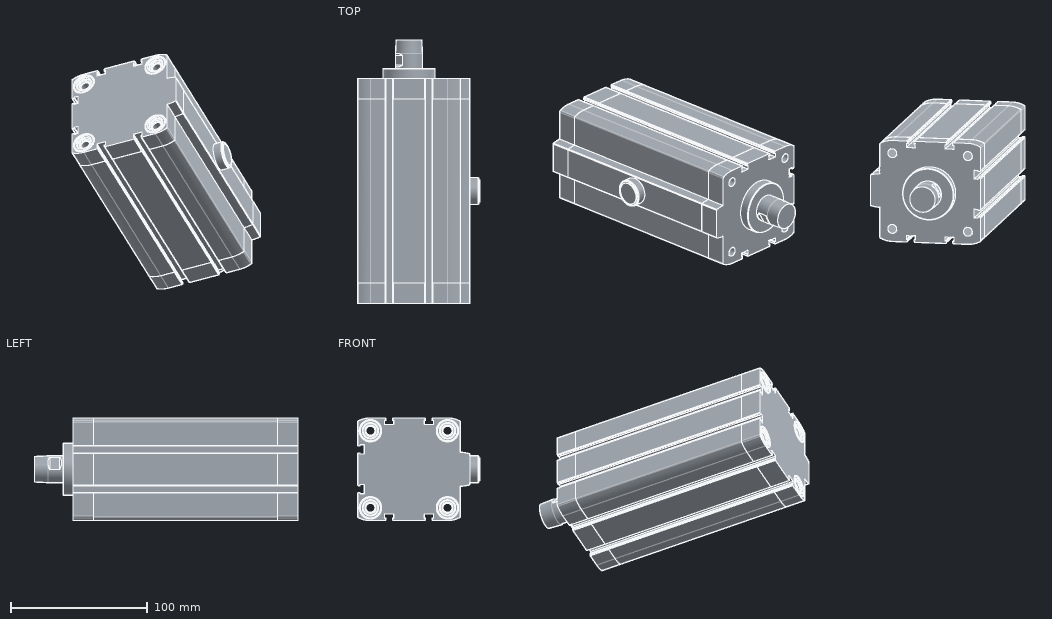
import cadquery as cq
import math

HOUSING_WIDTH = 75.5
HALF_WIDTH = HOUSING_WIDTH / 2
HOUSING_LENGTH = 165.2

CAP_LENGTH = 15.0
BARREL_LENGTH = HOUSING_LENGTH - 2 * CAP_LENGTH
BARREL_INSET = 0.1

BOLT_OFFSET = 28.2
CORNER_ARC_RADIUS = 19.0
CAP_CORNER_ROUND = 1.4
BARREL_CORNER_ROUND = 0.5

RAIL_HEIGHT = 7.0
RAIL_ROOT_WIDTH = 25.1
RAIL_TOP_WIDTH = 22.8
RAIL_FLANK_RADIUS = 27.0
RAIL_CHAMFER = 0.4

SLOT_OFFSET = 14.5
SLOT_MOUTH_WIDTH = 4.8
SLOT_MOUTH_CHAMFER = 0.5
SLOT_INNER_WIDTH = 6.5
SLOT_DEPTH = 4.8
SLOT_LIP = 2.0

GROOVE_OUTER_DIAMETER = 16.5
GROOVE_INNER_DIAMETER = 15.5
GROOVE_DEPTH = 1.5
GROOVE_INNER_BEVEL = 0.4
BORE_RIM_DIAMETER = 12.0
BORE_DIAMETER = 10.6
BORE_DEPTH = 1.5
STEP_DIAMETER = 8.3
STEP_DEPTH = 2.9
THROUGH_DIAMETER = 6.5

COLLAR_DIAMETER = 38.3
COLLAR_LENGTH = 7.3
COLLAR_CHAMFER = 0.4

TOTAL_LENGTH = 193.4
ROD_DIAMETER = 20.0
ROD_TIP_DIAMETER = 19.0
ROD_TIP_LENGTH = 10.0
ROD_START = HOUSING_LENGTH + COLLAR_LENGTH
ROD_SHOULDER = TOTAL_LENGTH - ROD_TIP_LENGTH

FLAT_DISTANCE = 17.0
FLAT_LENGTH = 7.2
FLAT_START = 174.8
FLAT_ANGLE = 30.0

KNOB_DIAMETER = 20.0
KNOB_TIP_DIAMETER = 16.5
KNOB_LENGTH = 7.3
KNOB_TIP_LENGTH = 0.8
KNOB_CHAMFER = 0.5


def along_y(start):
    """Sketch plane at Y = start, drawn in X and Z; a negative extrusion runs towards +Y."""
    return cq.Workplane(cq.Plane(origin=(0, start, 0), xDir=(1, 0, 0), normal=(0, -1, 0)))


def body_section(start, length, half_width, corner_round):
    """One length of the housing profile without slots or holes."""
    arc_span = half_width - BOLT_OFFSET
    side_z = half_width - CORNER_ARC_RADIUS + math.sqrt(CORNER_ARC_RADIUS**2 - arc_span**2)
    r = CORNER_ARC_RADIUS
    section = (
        along_y(start)
        .moveTo(-BOLT_OFFSET, half_width)
        .lineTo(BOLT_OFFSET, half_width)
        .radiusArc((half_width, side_z), r)
        .lineTo(half_width, -side_z)
        .radiusArc((BOLT_OFFSET, -half_width), r)
        .lineTo(-BOLT_OFFSET, -half_width)
        .radiusArc((-half_width, -side_z), r)
        .lineTo(-half_width, side_z)
        .radiusArc((-BOLT_OFFSET, half_width), r)
        .close()
        .extrude(-length)
    )
    for x in (-half_width, half_width):
        for z in (-side_z, side_z):
            middle = (x, start + length / 2, z)
            section = section.edges(cq.selectors.NearestToPointSelector(middle)).fillet(corner_round)
    return section.union(rail_section(start, length, half_width))


def rail_section(start, length, base_x):
    """One length of the raised rail, with slightly rounded flanks and bevelled edges."""
    top_x = base_x + RAIL_HEIGHT
    half_root = RAIL_ROOT_WIDTH / 2
    half_top = RAIL_TOP_WIDTH / 2
    return (
        along_y(start)
        .moveTo(0, half_root)
        .lineTo(base_x, half_root)
        .radiusArc((top_x, half_top), RAIL_FLANK_RADIUS)
        .lineTo(top_x, -half_top)
        .radiusArc((base_x, -half_root), RAIL_FLANK_RADIUS)
        .lineTo(0, -half_root)
        .close()
        .extrude(-length)
        .faces(">X")
        .edges("|Y")
        .chamfer(RAIL_CHAMFER)
    )


def sensor_slot(offset, turn):
    """T-slot cutter in the top face, turned about the Y axis onto its own face."""
    mouth = SLOT_MOUTH_WIDTH / 2
    inner = SLOT_INNER_WIDTH / 2
    outer = mouth + SLOT_MOUTH_CHAMFER
    mouth_z = HALF_WIDTH - SLOT_MOUTH_CHAMFER
    shoulder_z = HALF_WIDTH - SLOT_LIP
    floor_z = HALF_WIDTH - SLOT_DEPTH
    return (
        along_y(0)
        .polyline([
            (offset - outer, HALF_WIDTH),
            (offset - mouth, mouth_z),
            (offset - mouth, shoulder_z),
            (offset - inner, shoulder_z),
            (offset - inner, floor_z),
            (offset + inner, floor_z),
            (offset + inner, shoulder_z),
            (offset + mouth, shoulder_z),
            (offset + mouth, mouth_z),
            (offset + outer, HALF_WIDTH),
        ])
        .close()
        .extrude(-HOUSING_LENGTH)
        .rotate((0, 0, 0), (0, 1, 0), turn)
    )


def bolt_groove(x, z):
    """Cutter for the ring groove in the front face, bevelled along its inner edge."""
    outer = GROOVE_OUTER_DIAMETER / 2
    inner = GROOVE_INNER_DIAMETER / 2
    return (
        cq.Workplane("XY")
        .polyline([
            (outer, 0),
            (outer, GROOVE_DEPTH),
            (inner, GROOVE_DEPTH),
            (inner, GROOVE_INNER_BEVEL),
            (inner - GROOVE_INNER_BEVEL, 0),
        ])
        .close()
        .revolve(360, (0, 0, 0), (0, 1, 0))
        .translate((x, 0, z))
    )


def bolt_hole(x, z):
    """Cutter for a bore with a bevelled rim, a smaller step and a through hole."""
    bore_bevel = (BORE_RIM_DIAMETER - BORE_DIAMETER) / 2
    return (
        cq.Workplane("XY")
        .polyline([
            (0, 0),
            (BORE_RIM_DIAMETER / 2, 0),
            (BORE_DIAMETER / 2, bore_bevel),
            (BORE_DIAMETER / 2, BORE_DEPTH),
            (STEP_DIAMETER / 2, BORE_DEPTH),
            (STEP_DIAMETER / 2, STEP_DEPTH),
            (THROUGH_DIAMETER / 2, STEP_DEPTH),
            (THROUGH_DIAMETER / 2, HOUSING_LENGTH),
            (0, HOUSING_LENGTH),
        ])
        .close()
        .revolve(360, (0, 0, 0), (0, 1, 0))
        .translate((x, 0, z))
    )


def make_housing():
    barrel_half_width = HALF_WIDTH - BARREL_INSET
    rear_start = HOUSING_LENGTH - CAP_LENGTH
    body = body_section(0, CAP_LENGTH, HALF_WIDTH, CAP_CORNER_ROUND)
    body = body.union(body_section(CAP_LENGTH, BARREL_LENGTH, barrel_half_width, BARREL_CORNER_ROUND))
    body = body.union(body_section(rear_start, CAP_LENGTH, HALF_WIDTH, CAP_CORNER_ROUND))
    collar = along_y(HOUSING_LENGTH).circle(COLLAR_DIAMETER / 2).extrude(-COLLAR_LENGTH)
    body = body.union(collar.faces(">Y").chamfer(COLLAR_CHAMFER))
    for turn in (0, 180, -90):
        for offset in (-SLOT_OFFSET, SLOT_OFFSET):
            body = body.cut(sensor_slot(offset, turn))
    for x in (-BOLT_OFFSET, BOLT_OFFSET):
        for z in (-BOLT_OFFSET, BOLT_OFFSET):
            body = body.cut(bolt_groove(x, z)).cut(bolt_hole(x, z))
    return body


def wrench_flat(turn):
    """Cutter for one flat on the -X side, with 45 degree run-outs, turned about the rod axis."""
    floor_x = -FLAT_DISTANCE / 2
    flare = ROD_DIAMETER / 2 - FLAT_DISTANCE / 2
    outer_x = floor_x - flare
    flat_end = FLAT_START + FLAT_LENGTH
    return (
        cq.Workplane("XY")
        .polyline([
            (floor_x, FLAT_START),
            (floor_x, flat_end),
            (outer_x, flat_end + flare),
            (outer_x, FLAT_START - flare),
        ])
        .close()
        .extrude(ROD_DIAMETER / 2, both=True)
        .rotate((0, 0, 0), (0, 1, 0), turn)
    )


def make_rod():
    """Cylindrical rod with a slightly tapered tip and two wrench flats."""
    rod = (
        cq.Workplane("XY")
        .polyline([
            (0, ROD_START),
            (ROD_DIAMETER / 2, ROD_START),
            (ROD_DIAMETER / 2, ROD_SHOULDER),
            (ROD_TIP_DIAMETER / 2, TOTAL_LENGTH),
            (0, TOTAL_LENGTH),
        ])
        .close()
        .revolve(360, (0, 0, 0), (0, 1, 0))
    )
    for turn in (FLAT_ANGLE, FLAT_ANGLE + 180):
        rod = rod.cut(wrench_flat(turn))
    return rod


def make_knob():
    """Round knob with a chamfered shoulder and a smaller tip, pointing towards +X."""
    rail_top_x = HALF_WIDTH + RAIL_HEIGHT
    base_x = rail_top_x - BARREL_INSET
    tip_x = rail_top_x + KNOB_LENGTH
    shoulder_x = tip_x - KNOB_TIP_LENGTH
    radius = KNOB_DIAMETER / 2
    tip_radius = KNOB_TIP_DIAMETER / 2
    return (
        cq.Workplane("XY")
        .polyline([
            (base_x, 0),
            (base_x, radius),
            (shoulder_x - KNOB_CHAMFER, radius),
            (shoulder_x, radius - KNOB_CHAMFER),
            (shoulder_x, tip_radius),
            (tip_x, tip_radius),
            (tip_x, 0),
        ])
        .close()
        .revolve(360, (0, 0, 0), (1, 0, 0))
        .translate((0, HOUSING_LENGTH / 2, 0))
    )


housing = make_housing()
rod = make_rod()
knob = make_knob()

result = cq.Compound.makeCompound([housing.val(), rod.val(), knob.val()])